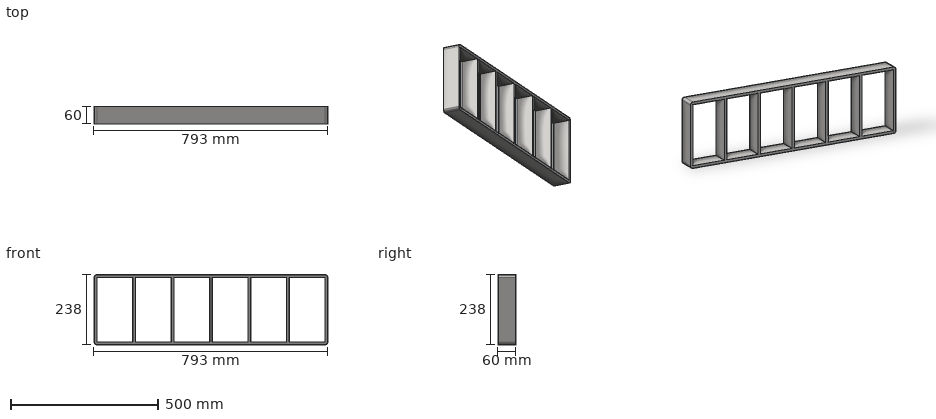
import cadquery as cq

length = 793.0
depth = 60.0
height = 238.0

wall = 10.0
opening_count = 6
corner_radius = 10.0

opening_height = height - 2 * wall
opening_width = (length - (opening_count + 1) * wall) / opening_count
opening_pitch = opening_width + wall


def make_body():
    """Solid block with its four long outer corners rounded."""
    block = cq.Workplane("XY").box(length, depth, height)
    return block.edges("|Y").fillet(corner_radius)


def make_openings():
    """Row of equal rectangular prisms running through the full depth."""
    return (
        cq.Workplane("XZ")
        .rarray(opening_pitch, 1, opening_count, 1)
        .rect(opening_width, opening_height)
        .extrude(depth / 2, both=True)
    )


result = make_body().cut(make_openings())